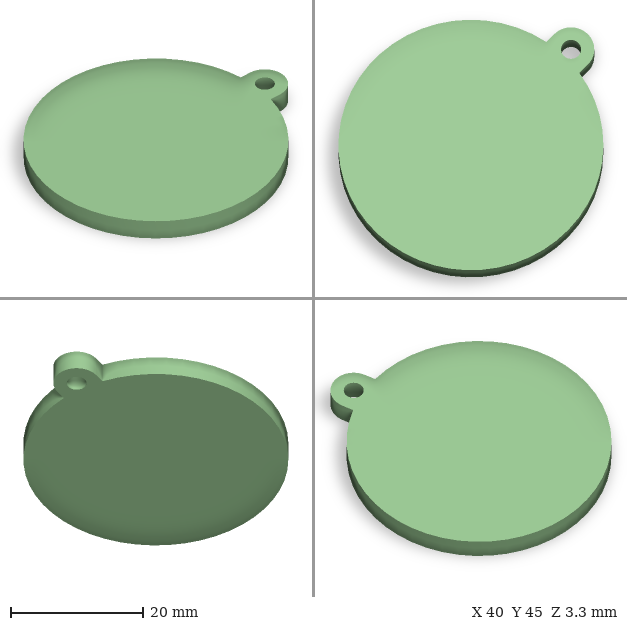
import cadquery as cq

overall_length = 45.0
disc_diameter = 40.0
thickness = 3.3
tab_width = 7.0
hole_diameter = 3.0

disc_radius = disc_diameter / 2
tab_radius = tab_width / 2
hole_y = overall_length - disc_radius - tab_radius


def make_disc():
    """Round plate centred on the origin."""
    return cq.Workplane("XY").circle(disc_radius).extrude(thickness)


def make_tab():
    """Straight-sided tab with a rounded end, starting inside the disc."""
    return (
        cq.Workplane("XY")
        .moveTo(-tab_radius, 0)
        .lineTo(tab_radius, 0)
        .lineTo(tab_radius, hole_y)
        .threePointArc((0, hole_y + tab_radius), (-tab_radius, hole_y))
        .close()
        .extrude(thickness)
    )


def make_hole():
    """Through hole concentric with the rounded end of the tab."""
    return cq.Workplane("XY").center(0, hole_y).circle(hole_diameter / 2).extrude(thickness)


result = make_disc().union(make_tab()).cut(make_hole())